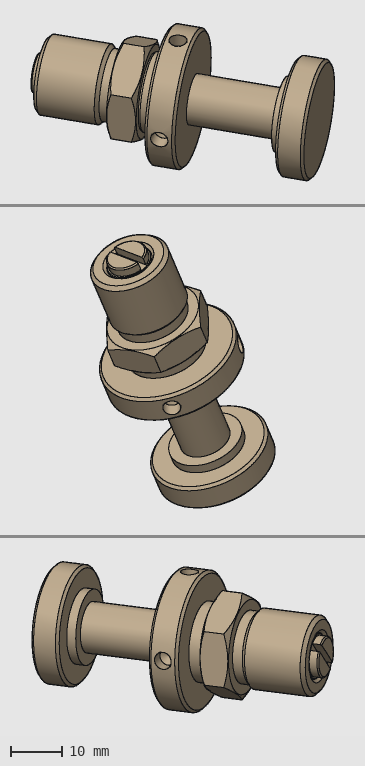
import cadquery as cq
import math

total_length = 57.0
housing_start = 1.5
groove_start = 14.65
nut_start = 16.7
nut_width = 6.0
nut_end = nut_start + nut_width
flange_start = 25.55
flange_width = 6.1
flange_end = flange_start + flange_width
shaft_step = flange_start
neck_start = 49.4
knob_start = 51.3

barrel_diameter = 16.0
groove_diameter = 14.5
barrel_chamfer = (barrel_diameter - groove_diameter) / 2
collar_chamfer_length = 0.4
collar_chamfer_depth = 0.2
flange_diameter = 28.0
flange_chamfer = 0.55
guide_diameter = 9.25
countersink_diameter = 10.45
countersink_depth = (countersink_diameter - guide_diameter) / 2

spanner_hole_count = 4
spanner_hole_diameter = 3.5
spanner_hole_depth = 2.85
drill_point_angle = 118

nut_across_flats = 19.0
nut_across_corners = nut_across_flats / math.cos(math.radians(30))
nut_face_diameter = 18.7
nut_chamfer_angle = 30

tip_diameter = 8.2
tip_chamfer = 0.3
guide_face_diameter = 8.9
guide_chamfer = (guide_diameter - guide_face_diameter) / 2
guide_chamfer_end = housing_start + countersink_depth
guide_start = guide_chamfer_end - guide_chamfer
shaft_diameter = 10.15
neck_diameter = 15.0
knob_diameter = 24.0
knob_chamfer = 0.55
slot_width = 1.5
slot_depth = guide_start
slot_angle = 43


def revolve_about_x(profile):
    """Revolve a closed outline of (x, radius) points about the X axis."""
    return cq.Workplane("XY").polyline(profile).close().revolve(360, (0, 0, 0), (1, 0, 0))


def spanner_hole(angle):
    """Cutter for one blind hole drilled inwards through the flange rim."""
    radius = spanner_hole_diameter / 2
    point_height = radius / math.tan(math.radians(drill_point_angle / 2))
    rim = flange_diameter / 2
    floor = rim - spanner_hole_depth
    cutter = (
        cq.Workplane("XZ")
        .polyline([(0, rim), (radius, rim), (radius, floor), (0, floor - point_height)])
        .close()
        .revolve(360, (0, 0, 0), (0, 1, 0))
    )
    hole_center = flange_start + flange_width / 2
    return cutter.translate((hole_center, 0, 0)).rotate((0, 0, 0), (1, 0, 0), angle)


def make_housing():
    barrel_radius = barrel_diameter / 2
    groove_radius = groove_diameter / 2
    flange_radius = flange_diameter / 2
    guide_radius = guide_diameter / 2
    countersink_radius = countersink_diameter / 2
    body = revolve_about_x([
        (housing_start, countersink_radius),
        (housing_start, barrel_radius - barrel_chamfer),
        (housing_start + barrel_chamfer, barrel_radius),
        (groove_start - barrel_chamfer, barrel_radius),
        (groove_start, groove_radius),
        (nut_end, groove_radius),
        (nut_end, barrel_radius - collar_chamfer_depth),
        (nut_end + collar_chamfer_length, barrel_radius),
        (flange_start, barrel_radius),
        (flange_start, flange_radius - flange_chamfer),
        (flange_start + flange_chamfer, flange_radius),
        (flange_end - flange_chamfer, flange_radius),
        (flange_end, flange_radius - flange_chamfer),
        (flange_end, shaft_diameter / 2),
        (shaft_step, shaft_diameter / 2),
        (shaft_step, guide_radius),
        (housing_start + countersink_depth, guide_radius),
    ])
    for i in range(spanner_hole_count):
        body = body.cut(spanner_hole(i * 360 / spanner_hole_count))
    return body


def make_nut():
    corner_radius = nut_across_corners / 2
    face_radius = nut_face_diameter / 2
    chamfer_length = (corner_radius - face_radius) * math.tan(math.radians(nut_chamfer_angle))
    hexagon = (
        cq.Workplane("YZ", origin=(nut_start, 0, 0))
        .transformed(rotate=(0, 0, 90))
        .polygon(6, nut_across_corners)
        .extrude(nut_width)
    )
    envelope = revolve_about_x([
        (nut_start, groove_diameter / 2),
        (nut_start, face_radius),
        (nut_start + chamfer_length, corner_radius),
        (nut_end - chamfer_length, corner_radius),
        (nut_end, face_radius),
        (nut_end, groove_diameter / 2),
    ])
    return hexagon.intersect(envelope)


def make_plunger():
    tip_radius = tip_diameter / 2
    guide_radius = guide_diameter / 2
    shaft_radius = shaft_diameter / 2
    knob_radius = knob_diameter / 2
    body = revolve_about_x([
        (0, 0),
        (0, tip_radius - tip_chamfer),
        (tip_chamfer, tip_radius),
        (guide_start, tip_radius),
        (guide_start, guide_face_diameter / 2),
        (guide_chamfer_end, guide_radius),
        (shaft_step, guide_radius),
        (shaft_step, shaft_radius),
        (neck_start, shaft_radius),
        (neck_start, neck_diameter / 2),
        (knob_start, neck_diameter / 2),
        (knob_start, knob_radius - knob_chamfer),
        (knob_start + knob_chamfer, knob_radius),
        (total_length - knob_chamfer, knob_radius),
        (total_length, knob_radius - knob_chamfer),
        (total_length, 0),
    ])
    slot = (
        cq.Workplane("XY")
        .box(slot_depth, tip_diameter, slot_width, centered=(False, True, True))
        .rotate((0, 0, 0), (1, 0, 0), slot_angle)
    )
    return body.cut(slot)


housing = make_housing()
nut = make_nut()
plunger = make_plunger()

result = cq.Compound.makeCompound([housing.val(), nut.val(), plunger.val()])